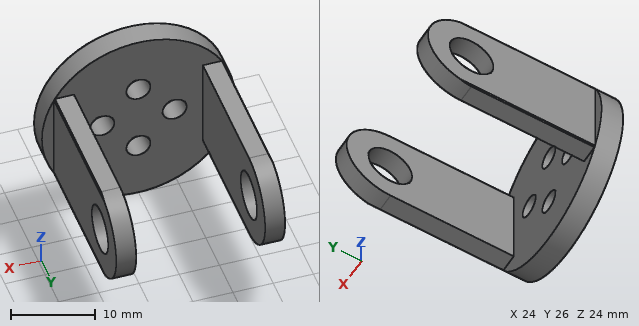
import cadquery as cq

total_length = 26.0
disk_diameter = 24.0
disk_thickness = 3.0
arm_width = 12.0
arm_gap = 16.02
arm_thickness = 2.5
pivot_hole_diameter = 6.0
bolt_hole_diameter = 3.0
bolt_circle_diameter = 9.0
bolt_count = 4

arm_end_radius = arm_width / 2
pivot_y = total_length - arm_end_radius
arm_inner_x = arm_gap / 2


def round_bar(diameter, length):
    """Solid cylinder along +Y, starting at the front face of the disk."""
    return cq.Workplane("XZ").circle(diameter / 2).extrude(-length)


def make_arm(start_x):
    """Round-ended arm with a pivot hole, extending from start_x toward +X."""
    outline = (
        cq.Workplane("YZ", origin=(start_x, 0, 0))
        .moveTo(0, -arm_end_radius)
        .lineTo(pivot_y, -arm_end_radius)
        .threePointArc((total_length, 0), (pivot_y, arm_end_radius))
        .lineTo(0, arm_end_radius)
        .close()
    )
    pivot_hole = (
        cq.Workplane("YZ", origin=(start_x, 0, 0))
        .center(pivot_y, 0)
        .circle(pivot_hole_diameter / 2)
        .extrude(arm_thickness)
    )
    return outline.extrude(arm_thickness).cut(pivot_hole)


envelope = round_bar(disk_diameter, total_length)
right_arm = make_arm(arm_inner_x).intersect(envelope)
left_arm = make_arm(-arm_inner_x - arm_thickness).intersect(envelope)

bolt_holes = (
    cq.Workplane("XZ")
    .polarArray(bolt_circle_diameter / 2, 0, 360, bolt_count)
    .circle(bolt_hole_diameter / 2)
    .extrude(-disk_thickness)
)

disk = round_bar(disk_diameter, disk_thickness)
result = disk.union(right_arm).union(left_arm).cut(bolt_holes)